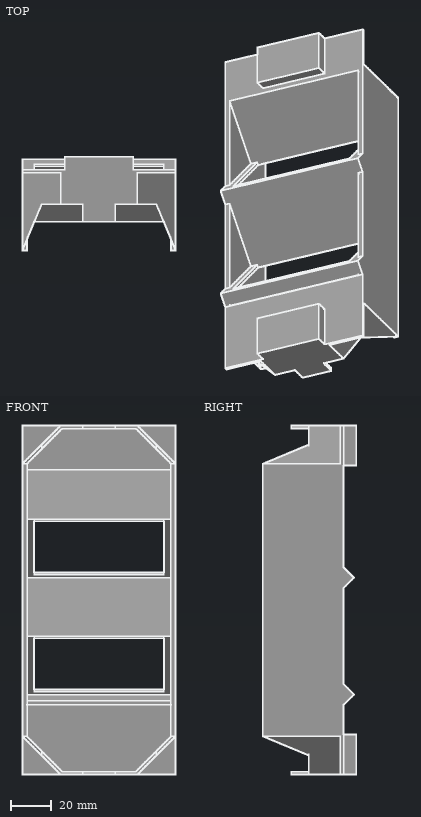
import cadquery as cq
import math

width = 75.0
height = 171
overall_depth = 46.0
depth = 39.7
sheet = 1.5
side_wall = 2.4
corner = 18.8

end_depth = 17.1
step_height = 9.4
tab_width = 15.7
tab_reach = 25.6
block_width = 33.7
block_height = 19.7
block_depth = overall_depth - depth

ridge_z = 39.7
pitch = 57.3
louver_count = 2
tip_reach = 5.1
rear_panel_overlap = 0.2

window_inset = 5.8
window_top_margin = sheet
window_bottom_margin = 2.0

half_pitch = pitch / 2
louver_shift = sheet * math.sqrt(2)
valley_y = tip_reach - louver_shift
ridge_y = valley_y - half_pitch
louver_top = ridge_z - ridge_y
lowest_valley_z = ridge_z - half_pitch - (louver_count - 1) * pitch


def box(x_size, y_min, y_max, z_min, z_max):
    """Box centred on X."""
    return cq.Workplane("XY").box(x_size, y_max - y_min, z_max - z_min).translate(
        (0, (y_min + y_max) / 2, (z_min + z_max) / 2)
    )


def extrude_across(points, length):
    """Extrude a (Y, Z) outline along X, centred on X = 0."""
    return cq.Workplane("YZ").polyline(points).close().extrude(length / 2, both=True)


def octagon(x_half, z_half, diagonal):
    """Rectangle with 45 degree corners where |x| + |z| = diagonal, from Y = 0 to the front."""
    points = [
        (x_half, diagonal - x_half),
        (diagonal - z_half, z_half),
        (z_half - diagonal, z_half),
        (-x_half, diagonal - x_half),
        (-x_half, x_half - diagonal),
        (z_half - diagonal, -z_half),
        (diagonal - z_half, -z_half),
        (x_half, x_half - diagonal),
    ]
    return cq.Workplane("XZ").polyline(points).close().extrude(depth)


def end_opening():
    """Cutter along Z for the upper end: clears the front and leaves the corner plates sloped."""
    slope_x = width / 2 - (corner - step_height)
    outline = [
        (width / 2, -depth),
        (slope_x, -end_depth),
        (-slope_x, -end_depth),
        (-width / 2, -depth),
    ]
    wall_end = height / 2 - corner
    return cq.Workplane("XY").workplane(offset=wall_end).polyline(outline).close().extrude(corner)


def housing_shell():
    """Eight-sided tube cut back at both ends, with corner plates that slope to the side walls."""
    outer_diagonal = width / 2 + height / 2 - corner
    shell = octagon(width / 2, height / 2, outer_diagonal).cut(
        octagon(
            width / 2 - side_wall,
            height / 2 - sheet,
            outer_diagonal - sheet * math.sqrt(2),
        )
    )
    opening = end_opening()
    return shell.cut(opening).cut(opening.mirror("XY"))


def rear_panels():
    """Full-width panels above and below the louvers."""
    upper_edge = louver_top - louver_shift
    lower_edge = lowest_valley_z - tip_reach + rear_panel_overlap
    upper = box(width, -sheet, 0, upper_edge, height / 2)
    lower = box(width, -sheet, 0, -height / 2, lower_edge)
    return upper.union(lower)


def end_tabs_and_blocks():
    """Front tab and rear block at each end."""
    tab = box(tab_width, -tab_reach, 0, height / 2 - sheet, height / 2)
    block = box(block_width, -sheet, block_depth, height / 2 - block_height, height / 2)
    upper = tab.union(block)
    return upper.union(upper.mirror("XY"))


def louvers():
    """Folded sheet running down the housing, cut off at the rear plane at both ends."""
    folds = []
    for i in range(louver_count):
        z = ridge_z - i * pitch
        folds.append((ridge_y, z))
        folds.append((valley_y, z - half_pitch))
    front = [(0, louver_top)] + folds + [(0, lowest_valley_z - valley_y)]
    rear = [(y + louver_shift, z) for y, z in folds]
    rear = [(0, louver_top - louver_shift)] + rear + [(0, lowest_valley_z - tip_reach)]
    return extrude_across(front + rear[::-1], width)


def side_ears(z_valley):
    """Triangular side wall extensions that close the ends of a rear tip."""
    points = [
        (0, z_valley + tip_reach),
        (tip_reach, z_valley),
        (0, z_valley - tip_reach),
        (-sheet, z_valley),
    ]
    gap = box(width - 2 * side_wall, -sheet, tip_reach, z_valley - tip_reach, z_valley + tip_reach)
    return extrude_across(points, width).cut(gap)


def window(z_ridge):
    """Cutter square to the downward-facing flank that starts at the given ridge."""
    start = window_top_margin / math.sqrt(2)
    end = half_pitch - window_bottom_margin / math.sqrt(2)
    through = 2 * sheet / math.sqrt(2)
    points = []
    for along, normal in [(start, -through), (end, -through), (end, through), (start, through)]:
        points.append((ridge_y + along + normal, z_ridge - along + normal))
    return extrude_across(points, width - 2 * window_inset)


louver_sheet = louvers()
ears = []
for i in range(louver_count):
    z = ridge_z - i * pitch
    louver_sheet = louver_sheet.cut(window(z))
    ears.append(side_ears(z - half_pitch))

result = housing_shell().union(rear_panels()).union(end_tabs_and_blocks()).union(louver_sheet)
for ear_pair in ears:
    result = result.union(ear_pair)